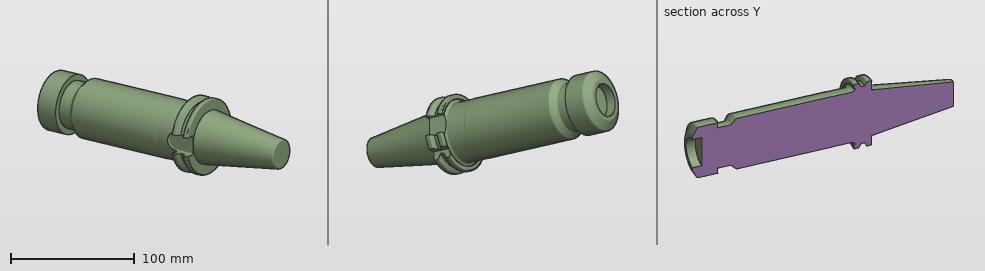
import cadquery as cq
import math

nose_x = -160.0
taper_length = 68.4
gauge_diameter = 44.45
taper_ratio = 7 / 24
taper_end_radius = 1.5

flange_diameter = 63.55
flange_front_x = -19.1
flange_back_x = -3.2
flange_edge_radius = 1.0
groove_center_x = -11.1
groove_diameter = 56.25
groove_floor_width = 2.9
groove_wall_angle = 30.0

body_diameter = 50.0
rear_body_diameter = 49.7
rear_body_x = -38.0
body_step_length = 0.5
body_front_x = -121.6
body_edge_radius = 1.0
neck_diameter = 40.0

recess_blend_radius = 2.6
recess_depth = 1.0
recess_mouth_diameter = 55.8

nut_back_x = -137.7
nut_face_diameter = 34.8
nut_cone_angle = 30.0
nut_edge_radius = 2.0
nut_bore_diameter = 27.2
nut_bore_depth = 8.0

slot_width = 16.1
slot_floor_radius = 1.0
near_slot_floor = 22.8
far_slot_floor = 25.0
notch_edge = 18.5

flange_r = flange_diameter / 2
body_r = body_diameter / 2


def taper_diameter(x):
    return gauge_diameter - x * taper_ratio


def revolve_profile(profile):
    return profile.close().revolve(360, (0, 0, 0), (1, 0, 0))


def round_rings(part, ring_places, radius):
    """Fillet the circular edges given as (axial position, ring radius) pairs."""
    tolerance = 0.01

    def is_wanted(edge):
        if edge.geomType() != "CIRCLE":
            return False
        x = edge.arcCenter().x
        r = edge.radius()
        return any(abs(x - px) < tolerance and abs(r - pr) < tolerance for px, pr in ring_places)

    return part.newObject([e for e in part.edges().vals() if is_wanted(e)]).fillet(radius)


def make_nut_and_front_body():
    face_r = nut_face_diameter / 2
    neck_r = neck_diameter / 2
    cone_x = nose_x + (body_r - face_r) * math.tan(math.radians(nut_cone_angle))
    neck_end_x = body_front_x - (body_r - neck_r)
    profile = cq.Workplane("XY").polyline([
        (nose_x, 0),
        (nose_x, face_r),
        (cone_x, body_r),
        (nut_back_x, body_r),
        (nut_back_x, neck_r),
        (neck_end_x, neck_r),
        (body_front_x, body_r),
        (rear_body_x, body_r),
        (rear_body_x, 0),
    ])
    part = revolve_profile(profile)
    part = round_rings(part, [(nose_x, face_r), (cone_x, body_r)], nut_edge_radius)
    return round_rings(part, [(neck_end_x, neck_r), (body_front_x, body_r)], body_edge_radius)


def make_flange():
    groove_r = groove_diameter / 2
    half_floor = groove_floor_width / 2
    half_mouth = half_floor + (flange_r - groove_r) * math.tan(math.radians(groove_wall_angle))
    profile = cq.Workplane("XY").polyline([
        (flange_front_x, 0),
        (flange_front_x, flange_r),
        (groove_center_x - half_mouth, flange_r),
        (groove_center_x - half_floor, groove_r),
        (groove_center_x + half_floor, groove_r),
        (groove_center_x + half_mouth, flange_r),
        (flange_back_x, flange_r),
        (flange_back_x, 0),
    ])
    rim_positions = [
        flange_front_x,
        groove_center_x - half_mouth,
        groove_center_x + half_mouth,
        flange_back_x,
    ]
    return round_rings(revolve_profile(profile), [(x, flange_r) for x in rim_positions], flange_edge_radius)


def make_rear_body():
    """Slightly smaller body section between the front body and the flange."""
    rear_r = rear_body_diameter / 2
    profile = cq.Workplane("XY").polyline([
        (rear_body_x, 0),
        (rear_body_x, body_r),
        (rear_body_x + body_step_length, rear_r),
        (flange_front_x, rear_r),
        (flange_front_x, 0),
    ])
    return revolve_profile(profile)


def make_taper():
    end_r = taper_diameter(taper_length) / 2
    profile = cq.Workplane("XY").polyline([
        (flange_back_x, 0),
        (flange_back_x, taper_diameter(flange_back_x) / 2),
        (taper_length, end_r),
        (taper_length, 0),
    ])
    return round_rings(revolve_profile(profile), [(taper_length, end_r)], taper_end_radius)


def flange_recess():
    """Ring cut into the flange face down to the blend between body and flange."""
    rear_r = rear_body_diameter / 2
    floor_x = flange_front_x + recess_depth
    profile = (
        cq.Workplane("XY")
        .moveTo(flange_front_x, recess_mouth_diameter / 2)
        .lineTo(floor_x, rear_r + recess_blend_radius)
        .lineTo(floor_x, rear_r)
        .lineTo(flange_front_x, rear_r)
    )
    return revolve_profile(profile)


def recess_blend():
    """Concave quarter-round ring joining the body to the recess floor."""
    rear_r = rear_body_diameter / 2
    radius = recess_blend_radius
    floor_x = flange_front_x + recess_depth
    start_x = floor_x - radius
    middle = radius * math.sqrt(0.5)
    profile = (
        cq.Workplane("XY")
        .moveTo(start_x, rear_r)
        .threePointArc((start_x + middle, rear_r + radius - middle), (floor_x, rear_r + radius))
        .lineTo(floor_x, body_r - radius)
        .lineTo(start_x, body_r - radius)
    )
    return revolve_profile(profile)


def nut_bore():
    return cq.Workplane("YZ", origin=(nose_x, 0, 0)).circle(nut_bore_diameter / 2).extrude(nut_bore_depth)


def drive_slot(side, floor):
    """Cutter for a round-ended slot on the given Y side, open toward the taper."""
    half_width = slot_width / 2
    profile = (
        cq.Workplane("XZ", origin=(0, side * floor, 0))
        .moveTo(flange_back_x, -half_width)
        .lineTo(flange_front_x, -half_width)
        .threePointArc((flange_front_x - half_width, 0), (flange_front_x, half_width))
        .lineTo(flange_back_x, half_width)
        .close()
    )
    cutter = profile.extrude(-side * flange_r)
    floor_face = "<Y" if side > 0 else ">Y"
    return cutter.faces(floor_face).edges("not >X").fillet(slot_floor_radius)


def notch():
    """Corner cut through the flange on the +Y, -Z side."""
    length = flange_back_x - flange_front_x
    block = cq.Workplane("XY").box(length, flange_r, flange_r, centered=False)
    return block.translate((flange_front_x, notch_edge, -notch_edge - flange_r))


result = (
    make_nut_and_front_body()
    .union(make_rear_body())
    .union(make_flange())
    .union(make_taper())
    .cut(flange_recess())
    .union(recess_blend())
    .cut(nut_bore())
    .cut(drive_slot(-1, near_slot_floor))
    .cut(drive_slot(1, far_slot_floor))
    .cut(notch())
)